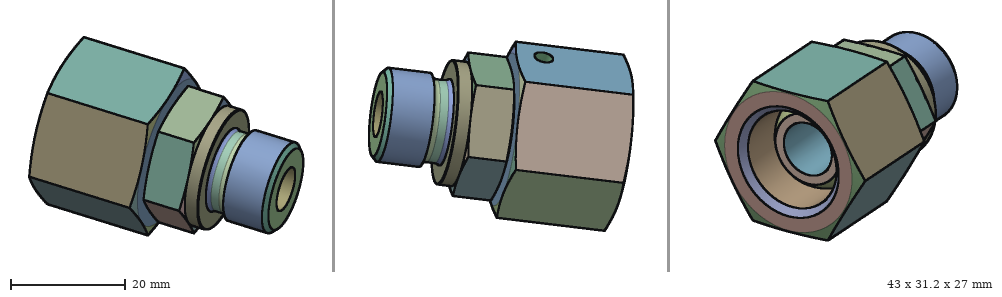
import cadquery as cq
import math


nut_length = 20.5
nut_flats = 27.0
nut_front_circle_radius = 13.25
nut_bore_radius = 9.2
nut_mouth_radius = 10.5
nut_mouth_depth = 1.3
wire_hole_diameter = 3.3
wire_hole_x = 15.5

crown_angle = 15.0
hex_corner_ratio = 2 / math.sqrt(3)

total_length = 43.0
nose_x = 6.35
nose_face_radius = 6.7
hex_start = 21.0
hex_end = 28.5
hex_flats = 22.0
hex_crown_depth = 0.35
collar_end = 31.05
collar_radius = hex_flats / 2
collar_chamfer = 0.15
neck_radius = 7.35
neck_start = 31.9
neck_end = 33.4
neck_arc_radius = 1.3
spigot_start = 34.65
spigot_radius = 8.35
spigot_chamfer = 0.85
through_radius = 4.0
inlet_radius = 5.0
inlet_end = hex_start
inlet_cone_length = 0.55


def revolve_about_x(profile):
    """Turn a closed XY profile, with Y as the radius, about the X axis."""
    return profile.close().revolve(360, (0, 0, 0), (1, 0, 0))


def hex_prism(start, end, flats):
    """Hexagon along X with flats facing +Z and -Z."""
    corner_diameter = flats * hex_corner_ratio
    return cq.Workplane("YZ", origin=(start, 0, 0)).polygon(6, corner_diameter).extrude(end - start)


def crowned_hex(start, end, flats, start_radius, start_depth, end_radius, end_depth):
    """Hexagon whose corners are turned down to a smaller circle at each end face."""
    corner_radius = flats * hex_corner_ratio / 2
    envelope = revolve_about_x(
        cq.Workplane("XY")
        .moveTo(start, 0)
        .lineTo(start, start_radius)
        .lineTo(start + start_depth, corner_radius)
        .lineTo(end - end_depth, corner_radius)
        .lineTo(end, end_radius)
        .lineTo(end, 0)
    )
    return hex_prism(start, end, flats).intersect(envelope)


def neck_arc_height(run):
    """Rise of an arc tangent to the neck after the given run along X."""
    return neck_arc_radius - math.sqrt(neck_arc_radius**2 - run**2)


def neck_arc_middle(edge_x, direction, run):
    """Point halfway along the run of an arc leaving the neck."""
    return (edge_x + direction * run / 2, neck_radius + neck_arc_height(run / 2))


def make_nut():
    corner_radius = nut_flats * hex_corner_ratio / 2
    slope = math.tan(math.radians(crown_angle))
    front_depth = (corner_radius - nut_front_circle_radius) * slope
    rear_circle_radius = nut_flats / 2
    rear_depth = (corner_radius - rear_circle_radius) * slope
    nut = crowned_hex(
        0, nut_length, nut_flats, nut_front_circle_radius, front_depth, rear_circle_radius, rear_depth
    )
    bore = revolve_about_x(
        cq.Workplane("XY")
        .lineTo(0, nut_mouth_radius)
        .lineTo(nut_mouth_depth, nut_bore_radius)
        .lineTo(nut_length, nut_bore_radius)
        .lineTo(nut_length, 0)
    )
    wire_hole = (
        cq.Workplane("XZ")
        .center(wire_hole_x, nut_bore_radius)
        .circle(wire_hole_diameter / 2)
        .extrude(-nut_flats)
    )
    return nut.cut(bore).cut(wire_hole)


def make_body():
    stem_radius = nut_bore_radius
    shoulder_radius = stem_radius + hex_start - nut_length
    nose_end = nose_x + math.sqrt(stem_radius**2 - nose_face_radius**2)
    collar_run = neck_start - collar_end
    spigot_run = spigot_start - neck_end
    turned = revolve_about_x(
        cq.Workplane("XY")
        .moveTo(inlet_end + inlet_cone_length, through_radius)
        .lineTo(inlet_end, inlet_radius)
        .lineTo(nose_x, inlet_radius)
        .lineTo(nose_x, nose_face_radius)
        .radiusArc((nose_end, stem_radius), stem_radius)
        .lineTo(nut_length, stem_radius)
        .lineTo(hex_start, shoulder_radius)
        .lineTo(hex_end, shoulder_radius)
        .lineTo(hex_end, collar_radius)
        .lineTo(collar_end - collar_chamfer, collar_radius)
        .lineTo(collar_end, collar_radius - collar_chamfer)
        .lineTo(collar_end, neck_radius + neck_arc_height(collar_run))
        .threePointArc(neck_arc_middle(neck_start, -1, collar_run), (neck_start, neck_radius))
        .lineTo(neck_end, neck_radius)
        .threePointArc(
            neck_arc_middle(neck_end, 1, spigot_run),
            (spigot_start, neck_radius + neck_arc_height(spigot_run)),
        )
        .lineTo(spigot_start, spigot_radius)
        .lineTo(total_length - spigot_chamfer, spigot_radius)
        .lineTo(total_length, spigot_radius - spigot_chamfer)
        .lineTo(total_length, through_radius)
    )
    hexagon = crowned_hex(
        hex_start, hex_end, hex_flats, collar_radius, hex_crown_depth, collar_radius, hex_crown_depth
    )
    core = cq.Workplane("YZ").circle(neck_radius).extrude(total_length)
    return turned.union(hexagon.cut(core))


nut = make_nut()
body = make_body()
result = cq.Compound.makeCompound([nut.val(), body.val()])